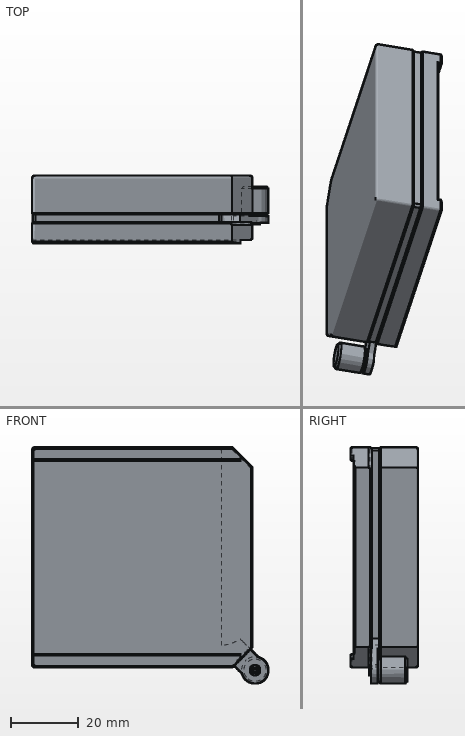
import cadquery as cq
import math

overall = 69.7
depth = 20.0

side = 65.0
case_bottom = overall - side
case_top = overall
case_middle_z = (case_bottom + case_top) / 2
corner_cut = 6.0
corner_round = 1.0
back_round = 0.9
edge_bevel = 0.5

plate_back = 6.35
shell_front = 8.5
spacer_inset = 0.2
corner_bevel_depth = 2 * edge_bevel

face_recess = 1.0
rail_width = 4.05
rail_length = 61.5

slot_left = 55.9
slot_floor_right = 61.3
slot_floor_radius = 8.5
slot_mouth_bevel = 0.85

lug_radius = 4.0
pivot_x = overall - lug_radius
pivot_z = lug_radius
arm_width = 6.8
arm_reach = 9.4
arm_blend = 1.95
blade_front = 6.1
blade_back = 8.0
barrel_front = 8.3
barrel_back = 16.8
barrel_bevel = 0.7

head_front = 5.6
head_radius = 1.5
socket_radius = 0.85
socket_depth = 0.5
core_radius = 0.5
core_depth = 1.0

margin = 0.1


def along_y(profile, y_start, y_end):
    """Extrude a profile drawn on XZ from y_start to y_end."""
    return profile.extrude(y_start - y_end).translate((0, y_start, 0))


def disc(radius, y_start, y_end):
    """Cylinder around the Y axis."""
    return along_y(cq.Workplane("XZ").circle(radius), y_start, y_end)


def case_block(y_start, y_end, inset=0.0):
    """Square block with its two right-hand corners cut off at 45 degrees."""
    left = inset
    right = side - inset
    bottom = case_bottom + inset
    top = case_top - inset
    outline = cq.Workplane("XZ").polyline([
        (left, bottom),
        (right - corner_cut, bottom),
        (right, bottom + corner_cut),
        (right, top - corner_cut),
        (right - corner_cut, top),
        (left, top),
    ]).close()
    return along_y(outline, y_start, y_end)


def make_shell():
    shell = case_block(shell_front, depth)
    shell = shell.edges("|Y and <X").fillet(corner_round)
    shell = shell.faces(">Y").edges().fillet(back_round)
    return shell.faces("<Y").edges().chamfer(edge_bevel)


def rail_gap():
    """Space in front of the recessed face: between the rails and beyond their right ends."""
    low = case_bottom + rail_width
    high = case_top - rail_width
    between_rails = cq.Workplane("YZ").polyline([
        (0, low - edge_bevel),
        (edge_bevel, low),
        (face_recess, low),
        (face_recess, high),
        (edge_bevel, high),
        (0, high + edge_bevel),
    ]).close().extrude(side)
    beyond_rails = cq.Workplane("XY").box(side - rail_length, face_recess, side, centered=False)
    return between_rails.union(beyond_rails.translate((rail_length, 0, case_bottom)))


def upper_corner_wedge():
    """Cutter for the steep bevel behind the upper right corner of the plate."""
    wedge = cq.Workplane("XY").polyline([
        (0, plate_back - corner_bevel_depth),
        (-edge_bevel, plate_back),
        (0, plate_back),
    ]).close().extrude(corner_cut, both=True)
    wedge = wedge.rotate((0, 0, 0), (0, 1, 0), -45)
    return wedge.translate((side - corner_cut / 2, 0, case_top - corner_cut / 2))


def make_plate():
    plate = case_block(0, plate_back)
    plate = plate.edges("|Y and <X").fillet(corner_round)

    plate = plate.faces("<Y").edges("<X or <Z or >Z").chamfer(edge_bevel)
    plate = plate.faces(">Y").edges("<X or >X or <Z or >Z").chamfer(edge_bevel)

    plate = plate.cut(rail_gap())
    face_edges = cq.selectors.BoxSelector(
        (-margin, face_recess - margin, case_bottom),
        (side + margin, face_recess + margin, case_top),
    )
    plate = plate.edges(face_edges).edges("|Z").edges("<X or >X").chamfer(edge_bevel)

    upper_wedge = upper_corner_wedge()
    lower_wedge = upper_wedge.mirror("XY", (0, 0, case_middle_z))
    return plate.cut(upper_wedge).cut(lower_wedge)


def spacer_slot():
    """Slot with an arched floor that runs out along the upper edge of the lug arm."""
    arm_edge_sum = pivot_x + pivot_z + arm_width * math.sqrt(0.5)
    floor_end_z = arm_edge_sum - slot_floor_right
    floor_angle = math.asin((slot_floor_right - slot_left) / slot_floor_radius)
    arc_center_z = floor_end_z + slot_floor_radius * math.cos(floor_angle)
    floor_start = (slot_left, arc_center_z - slot_floor_radius)
    floor_middle = (
        slot_left + slot_floor_radius * math.sin(floor_angle / 2),
        arc_center_z - slot_floor_radius * math.cos(floor_angle / 2),
    )
    floor_end = (slot_floor_right, floor_end_z)
    outline = cq.Workplane("XZ").moveTo(*floor_start).threePointArc(floor_middle, floor_end)
    outline = outline.lineTo(overall, arm_edge_sum - overall)
    outline = outline.lineTo(overall, overall).lineTo(slot_left, overall).close()
    return along_y(outline, plate_back, shell_front)


def make_spacer():
    spacer = case_block(plate_back, shell_front, spacer_inset)
    spacer = spacer.edges("|Y and <X").chamfer(corner_round - spacer_inset)
    spacer = spacer.cut(spacer_slot())
    slot_mouth = cq.selectors.NearestToPointSelector(
        (slot_left, (plate_back + shell_front) / 2, case_top)
    )
    return spacer.edges(slot_mouth).chamfer(slot_mouth_bevel)


def make_blade():
    """Flat lug with its arm pointing to -X, blended where the arm meets the round end."""
    arm_outline = cq.Workplane("XZ").center(-arm_reach / 2, 0).rect(arm_reach, arm_width)
    arm = along_y(arm_outline, blade_front, blade_back)
    blade = disc(lug_radius, blade_front, blade_back).union(arm)
    neck_x = -math.sqrt(lug_radius ** 2 - (arm_width / 2) ** 2)
    neck_edges = cq.selectors.BoxSelector(
        (neck_x - margin, blade_front, -arm_width),
        (neck_x + margin, blade_back, arm_width),
    )
    return blade.edges("|Y").edges(neck_edges).fillet(arm_blend)


def make_lug():
    barrel = disc(lug_radius, barrel_front, barrel_back)
    barrel = barrel.faces("<Y or >Y").edges().chamfer(barrel_bevel)
    washer = disc(lug_radius - barrel_bevel, blade_back, barrel_front)
    head = disc(head_radius, head_front, blade_front)
    lug = make_blade().union(washer).union(barrel).union(head)
    lug = lug.cut(disc(socket_radius, head_front, head_front + socket_depth))
    lug = lug.cut(disc(core_radius, head_front, head_front + core_depth))

    lug = lug.rotate((0, 0, 0), (0, 1, 0), 45)
    return lug.translate((pivot_x, 0, pivot_z))


result = make_shell().union(make_plate()).union(make_spacer()).union(make_lug())